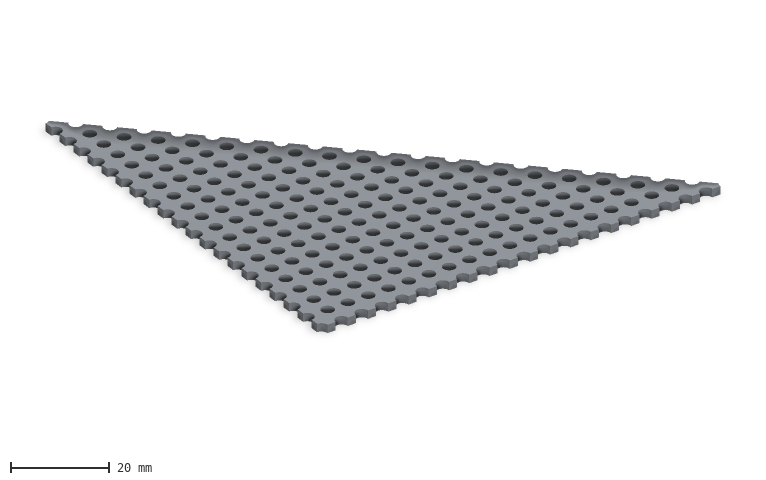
import cadquery as cq
import math

outer_side = 98.9
thickness = 2.0
pitch_count = 20
hole_radius_ratio = 0.3

tip_loss_in_pitches = hole_radius_ratio * math.cos(math.radians(45))
pitch = outer_side / (pitch_count - tip_loss_in_pitches)
hole_radius = hole_radius_ratio * pitch
leg = pitch_count * pitch


def triangle_plate():
    """Right isosceles plate with its square corner at +X, -Y."""
    corners = [(0, 0), (leg, 0), (leg, leg)]
    return cq.Workplane("XY").polyline(corners).close().extrude(thickness)


def hole_centres():
    """Square grid filling the triangle, including its three edges and corners."""
    return [
        (column * pitch, row * pitch)
        for column in range(pitch_count + 1)
        for row in range(column + 1)
    ]


def hole_cutters():
    """Through-hole cylinders; those centred on an edge leave round notches."""
    return cq.Workplane("XY").pushPoints(hole_centres()).circle(hole_radius).extrude(thickness)


result = triangle_plate().cut(hole_cutters())